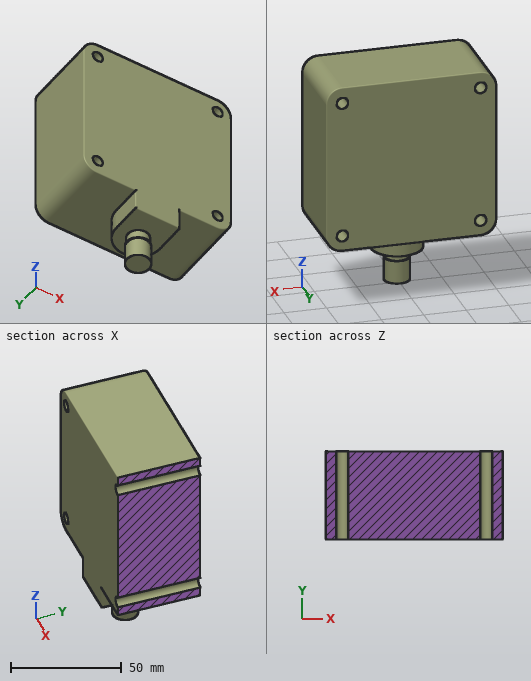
import cadquery as cq

overall_height = 107.0
housing_side = 80.0
housing_depth = 40.0
corner_radius = 7.5
edge_round = 0.5

hole_diameter = 5.4
hole_pitch = housing_side - 2 * corner_radius

outlet_width = 24.0
outlet_height = 11.0
outlet_axis_y = 16.0
neck_diameter = 11.0
connector_diameter = 12.0
connector_height = 11.0

outlet_bottom = -outlet_height
connector_bottom = housing_side - overall_height
connector_top = connector_bottom + connector_height


def make_housing():
    return (
        cq.Workplane("XY")
        .box(housing_side, housing_depth, housing_side, centered=(True, False, False))
        .edges("|Y")
        .fillet(corner_radius)
        .faces("<Y or >Y")
        .edges()
        .fillet(edge_round)
    )


def make_outlet():
    """Block with a flat front and a half-round back, reaching into the housing."""
    half_width = outlet_width / 2
    embedded_height = corner_radius
    return (
        cq.Workplane("XY", origin=(0, 0, outlet_bottom))
        .moveTo(-half_width, 0)
        .lineTo(half_width, 0)
        .lineTo(half_width, outlet_axis_y)
        .threePointArc((0, outlet_axis_y + half_width), (-half_width, outlet_axis_y))
        .close()
        .extrude(outlet_height + embedded_height)
        .faces("<Y")
        .edges("|Z or <Z")
        .fillet(edge_round)
    )


def make_cylinder(diameter, bottom, top):
    """Upright cylinder on the outlet axis."""
    return (
        cq.Workplane("XY", origin=(0, outlet_axis_y, bottom))
        .circle(diameter / 2)
        .extrude(top - bottom)
    )


def make_mounting_holes():
    return (
        cq.Workplane("XZ", origin=(0, 0, housing_side / 2))
        .rect(hole_pitch, hole_pitch, forConstruction=True)
        .vertices()
        .circle(hole_diameter / 2)
        .extrude(-housing_depth)
    )


neck = make_cylinder(neck_diameter, connector_top, outlet_bottom)
connector = make_cylinder(connector_diameter, connector_bottom, connector_top)

result = (
    make_housing()
    .cut(make_mounting_holes())
    .union(make_outlet())
    .union(neck)
    .union(connector)
)